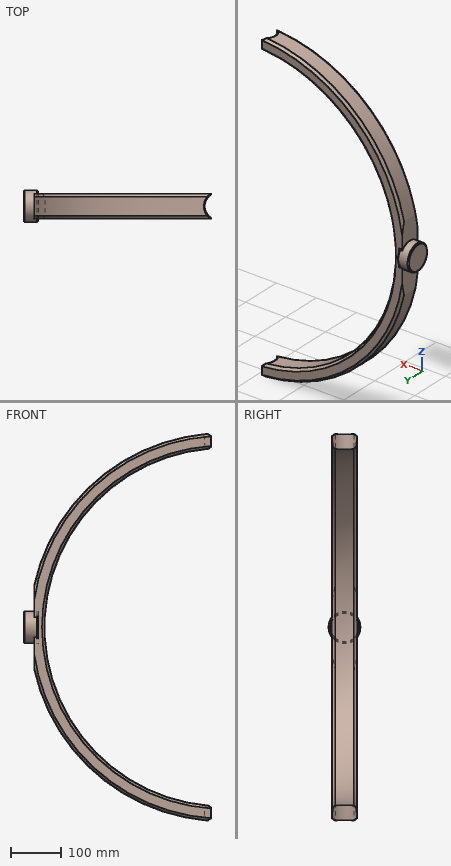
import cadquery as cq
import math

center_x = 397.0
outer_radius = 385.0
inner_radius = 355.5
width = 50.0
tip_x = 372.0

chamfer_across = 6.0
chamfer_radial = 5.0

seat_x = 21.0

button_diameter = 64.0
button_length = 29.0
button_front_edge = 2.0
button_back_edge = 4.0

scallop_radius = 28.0
scallop_depth = 14.0


def ring():
    """Full ring with a chamfered rectangular section, lying in the XZ plane."""
    half_width = width / 2
    flat_half = half_width - chamfer_across
    section = [
        (inner_radius, -flat_half),
        (inner_radius + chamfer_radial, -half_width),
        (outer_radius - chamfer_radial, -half_width),
        (outer_radius, -flat_half),
        (outer_radius, flat_half),
        (outer_radius - chamfer_radial, half_width),
        (inner_radius + chamfer_radial, half_width),
        (inner_radius, flat_half),
    ]
    profile = cq.Workplane("XY").polyline(section).close()
    return profile.revolve(360, (0, 0, 0), (0, 1, 0)).translate((center_x, 0, 0))


def kept_zone():
    """Block between the seat plane and the tip plane, clear of the ring elsewhere."""
    length = tip_x - seat_x
    block = cq.Workplane("XY").box(length, 2 * width, 3 * outer_radius)
    return block.translate((seat_x + length / 2, 0, 0))


def tip_scallop(side):
    """Cylinder along the radius at one tip; side is +1 for the upper tip, -1 for the lower."""
    middle_radius = (outer_radius + inner_radius) / 2
    tip_angle = math.asin((center_x - tip_x) / middle_radius)
    tip_z = side * middle_radius * math.cos(tip_angle)
    cylinder = cq.Workplane("XY").circle(scallop_radius).extrude(outer_radius / 2, both=True)
    leaning = cylinder.rotate((0, 0, 0), (0, 1, 0), -side * math.degrees(tip_angle))
    return leaning.translate((tip_x + scallop_radius - scallop_depth, 0, tip_z))


def button_pocket():
    """Straight-walled bore that the button sits in."""
    return cq.Workplane("YZ").circle(button_diameter / 2).extrude(button_length)


def button():
    """Disc with chamfered rims, resting on the floor of its pocket."""
    disc = button_pocket().faces("<X").chamfer(button_front_edge)
    return disc.faces(">X").chamfer(button_back_edge)


result = ring().intersect(kept_zone())
for side in (1, -1):
    result = result.cut(tip_scallop(side))
result = result.cut(button_pocket()).union(button())